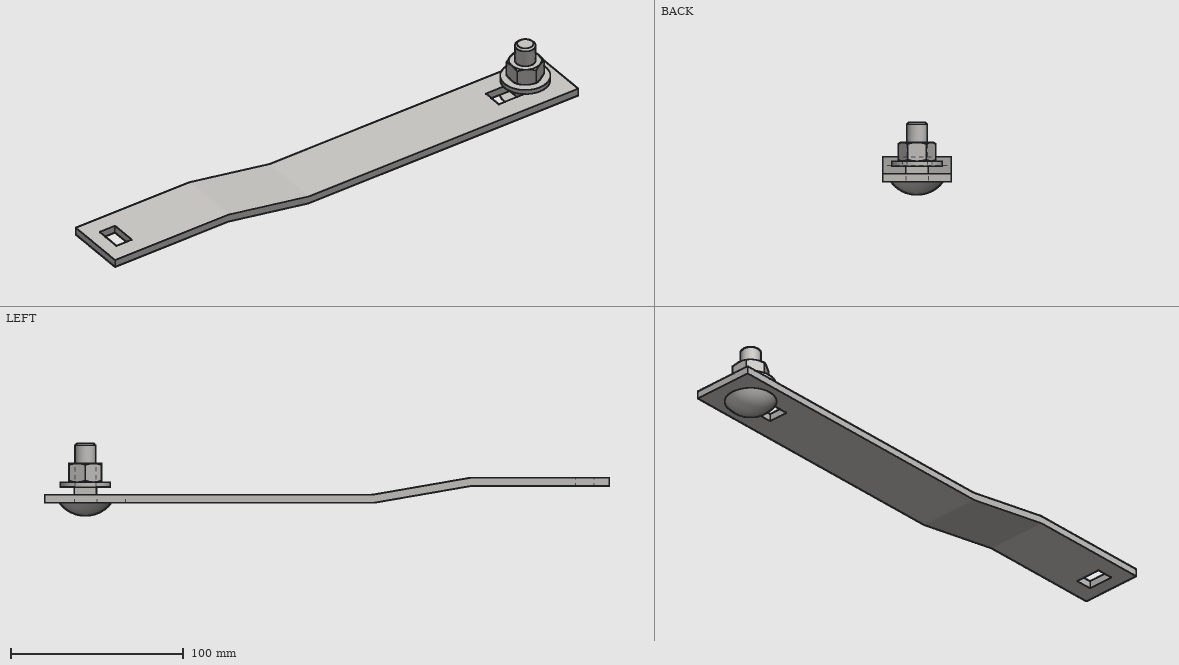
import cadquery as cq
import math


bar_length = 326.7
bar_width = 40.0
bar_thickness = 5.0
bolt_to_end = 23.5
low_length = 190.0
ramp_run = 56.5
bar_rise = 9.8
bend_radius = 9.8

slot_length = 29.7
slot_width = 13.0
hole_width = 17.0
hole_length = 10.8
hole_to_end = 14.5

shank_diameter = 12.0
tip_chamfer = 1.3
neck_width = slot_width
neck_above_bar = 4.2
head_diameter = 30.0
head_height = 7.5
bolt_overhang = 11.8

washer_diameter = 29.0
washer_thickness = 3.0
nut_flats = 19.0
nut_height = 10.8
nut_chamfer_angle = 30

bar_end_y = bolt_to_end
bar_far_y = bar_end_y - bar_length
low_bend_y = bar_end_y - low_length
neck_top = bar_thickness + neck_above_bar
washer_top = neck_top + washer_thickness
nut_top = washer_top + nut_height
bolt_top = nut_top + bolt_overhang


def make_bar():
    ramp_angle = math.atan2(bar_rise, ramp_run)
    bend_shift = bar_thickness * math.tan(ramp_angle / 2)
    low_top_y = low_bend_y + bend_shift / 2
    low_bottom_y = low_bend_y - bend_shift / 2
    top_rise = bar_thickness + bar_rise
    bar = (
        cq.Workplane("YZ")
        .moveTo(bar_end_y, 0)
        .lineTo(low_bottom_y, 0)
        .lineTo(low_bottom_y - ramp_run, bar_rise)
        .lineTo(bar_far_y, bar_rise)
        .lineTo(bar_far_y, top_rise)
        .lineTo(low_top_y - ramp_run, top_rise)
        .lineTo(low_top_y, bar_thickness)
        .lineTo(bar_end_y, bar_thickness)
        .close()
        .extrude(bar_width / 2, both=True)
    )
    inner_bends = [(low_top_y, bar_thickness), (low_bottom_y - ramp_run, bar_rise)]
    outer_bends = [(low_bottom_y, 0), (low_top_y - ramp_run, top_rise)]
    for y, z in inner_bends:
        bar = bar.edges(cq.NearestToPointSelector((0, y, z))).fillet(bend_radius)
    for y, z in outer_bends:
        bar = bar.edges(cq.NearestToPointSelector((0, y, z))).fillet(bend_radius + bar_thickness)
    slot_center_y = neck_width / 2 - slot_length / 2
    slot = (
        cq.Workplane("XY")
        .center(0, slot_center_y)
        .rect(slot_width, slot_length)
        .extrude(bar_thickness)
    )
    hole = (
        cq.Workplane("XY", origin=(0, bar_far_y + hole_to_end, bar_rise))
        .rect(hole_width, hole_length)
        .extrude(bar_thickness)
    )
    return bar.cut(slot).cut(hole)


def make_bolt():
    head_radius = head_diameter / 2
    dome_radius = (head_radius**2 + head_height**2) / (2 * head_height)
    half_sweep = math.asin(head_radius / dome_radius) / 2
    mid_radius = dome_radius * math.sin(half_sweep)
    mid_z = dome_radius - head_height - dome_radius * math.cos(half_sweep)
    head = (
        cq.Workplane("XZ")
        .lineTo(head_radius, 0)
        .threePointArc((mid_radius, mid_z), (0, -head_height))
        .close()
        .revolve(360, (0, 0), (0, 1))
    )
    neck = cq.Workplane("XY").rect(neck_width, neck_width).extrude(neck_top)
    shank = (
        cq.Workplane("XY")
        .circle(shank_diameter / 2)
        .extrude(bolt_top)
        .faces(">Z")
        .chamfer(tip_chamfer)
    )
    return head.union(neck).union(shank)


def make_washer():
    return (
        cq.Workplane("XY", origin=(0, 0, neck_top))
        .circle(washer_diameter / 2)
        .circle(shank_diameter / 2)
        .extrude(washer_thickness)
    )


def make_nut():
    across_corners = nut_flats / math.cos(math.pi / 6)
    nut = (
        cq.Workplane("XY", origin=(0, 0, washer_top))
        .polygon(6, across_corners)
        .circle(shank_diameter / 2)
        .extrude(nut_height)
    )
    corner_overhang = (across_corners - nut_flats) / 2
    bevel_height = corner_overhang * math.tan(math.radians(nut_chamfer_angle))
    envelope = (
        cq.Workplane("XZ")
        .moveTo(0, washer_top)
        .lineTo(nut_flats / 2, washer_top)
        .lineTo(across_corners / 2, washer_top + bevel_height)
        .lineTo(across_corners / 2, nut_top - bevel_height)
        .lineTo(nut_flats / 2, nut_top)
        .lineTo(0, nut_top)
        .close()
        .revolve(360, (0, 0), (0, 1))
    )
    return nut.intersect(envelope)


bar = make_bar()
bolt = make_bolt()
washer = make_washer()
nut = make_nut()

result = cq.Compound.makeCompound([bar.val(), bolt.val(), washer.val(), nut.val()])